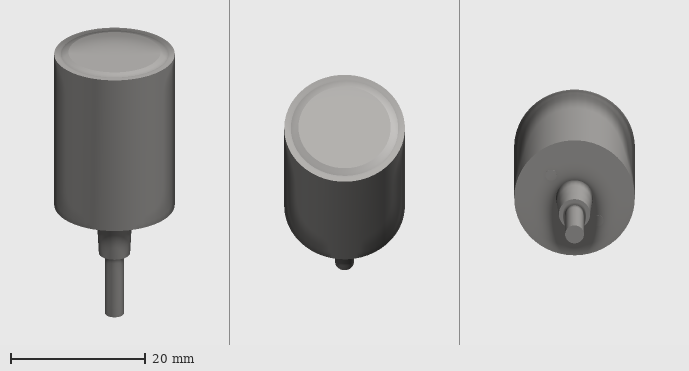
import cadquery as cq

total_height = 43.3
body_diameter = 18.0
body_height = 25.0
cap_height = 0.3
cap_base_diameter = 16.0
cap_top_diameter = 13.75
sleeve_length = 8.0
sleeve_top_diameter = 5.5
sleeve_tip_diameter = 4.68
cable_diameter = 2.8
peg_diameter = 1.7
peg_height = 0.1
peg_offset = 5.0

body_top = total_height - cap_height
body_bottom = body_top - body_height
sleeve_tip = body_bottom - sleeve_length


def turned_part():
    """Revolve the cable, tapered sleeve, body and sloped cap about Z."""
    profile = (
        cq.Workplane("XZ")
        .moveTo(0, 0)
        .lineTo(cable_diameter / 2, 0)
        .lineTo(cable_diameter / 2, sleeve_tip)
        .lineTo(sleeve_tip_diameter / 2, sleeve_tip)
        .lineTo(sleeve_top_diameter / 2, body_bottom)
        .lineTo(body_diameter / 2, body_bottom)
        .lineTo(body_diameter / 2, body_top)
        .lineTo(cap_base_diameter / 2, body_top)
        .lineTo(cap_top_diameter / 2, total_height)
        .lineTo(0, total_height)
        .close()
    )
    return profile.revolve(360, (0, 0, 0), (0, 1, 0))


def bottom_pegs():
    """Two shallow round pegs under the body, either side of the sleeve."""
    return (
        cq.Workplane("XY", origin=(0, 0, body_bottom))
        .pushPoints([(0, -peg_offset), (0, peg_offset)])
        .circle(peg_diameter / 2)
        .extrude(-peg_height)
    )


result = turned_part().union(bottom_pegs())